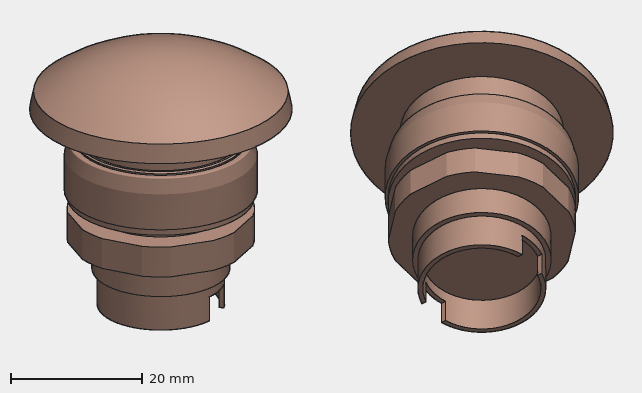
import cadquery as cq
import math


slot_top = 4.0
barrel_bottom = 6.0
nut_bottom = 11.0
nut_height = 5.0
gasket_bottom = 18.0
gasket_height = 1.1
collar_bottom = gasket_bottom + gasket_height
collar_cylinder_height = 5.9
collar_top = 27.5
lip_top = 28.0
rim_bottom = 32.6
rim_height = 3.0
cap_top = 42.1

skirt_radius = 9.75
skirt_bore_radius = 9.0
barrel_radius = 10.55
collar_radius = 14.75
collar_top_radius = 14.2
collar_edge_rounding = 0.25
lip_radius = 13.15
lip_chamfer = 0.25
slot_width = 5.1

gasket_radius = 14.3

nut_sides = 8
nut_across_flats = 27.8
nut_turned_diameter = 28.6

stem_radius = 12.5
rim_radius = 20.03
rim_top_radius = 19.4


def make_housing():
    """Barrel with a tapered collar on top and a slotted, hollow skirt below."""
    collar_shoulder = collar_bottom + collar_cylinder_height
    rounding_start = collar_top - collar_edge_rounding
    rounding_inner = collar_top_radius - collar_edge_rounding
    arc_offset = collar_edge_rounding * math.sqrt(0.5)
    arc_middle = (rounding_inner + arc_offset, rounding_start + arc_offset)

    body = (
        cq.Workplane("XZ")
        .moveTo(0, barrel_bottom)
        .lineTo(skirt_bore_radius, barrel_bottom)
        .lineTo(skirt_bore_radius, 0)
        .lineTo(skirt_radius, 0)
        .lineTo(skirt_radius, barrel_bottom)
        .lineTo(barrel_radius, barrel_bottom)
        .lineTo(barrel_radius, collar_bottom)
        .lineTo(collar_radius, collar_bottom)
        .lineTo(collar_radius, collar_shoulder)
        .lineTo(collar_top_radius, rounding_start)
        .threePointArc(arc_middle, (rounding_inner, collar_top))
        .lineTo(lip_radius, collar_top)
        .lineTo(lip_radius, lip_top - lip_chamfer)
        .lineTo(lip_radius - lip_chamfer, lip_top)
        .lineTo(0, lip_top)
        .close()
        .revolve(360, (0, 0, 0), (0, 1, 0))
    )

    slot = cq.Workplane("XY").box(2 * barrel_radius, slot_width, slot_top, centered=(True, True, False))
    return body.cut(slot).solids()


def make_gasket():
    """Flat sealing ring around the barrel, directly under the collar."""
    return (
        cq.Workplane("XY")
        .workplane(offset=gasket_bottom)
        .circle(gasket_radius)
        .circle(barrel_radius)
        .extrude(gasket_height)
    )


def make_nut():
    """Octagonal nut on the barrel, with flats square to X and Y."""
    across_corners = nut_across_flats / math.cos(math.pi / nut_sides)
    half_side_angle = 180 / nut_sides
    base = cq.Workplane("XY").workplane(offset=nut_bottom)
    octagon = (
        base.polygon(nut_sides, across_corners)
        .extrude(nut_height)
        .rotate((0, 0, 0), (0, 0, 1), half_side_angle)
    )
    turned_blank = base.circle(nut_turned_diameter / 2).circle(barrel_radius).extrude(nut_height)
    return octagon.intersect(turned_blank).solids()


def make_cap():
    """Stem standing on the housing, with a tapered rim and a spherical dome."""
    rim_top = rim_bottom + rim_height
    dome_height = cap_top - rim_top
    dome_radius = (rim_top_radius**2 + dome_height**2) / (2 * dome_height)
    dome_centre = cap_top - dome_radius
    half_angle = math.asin(rim_top_radius / dome_radius) / 2
    dome_middle = (dome_radius * math.sin(half_angle), dome_centre + dome_radius * math.cos(half_angle))

    return (
        cq.Workplane("XZ")
        .moveTo(0, lip_top)
        .lineTo(stem_radius, lip_top)
        .lineTo(stem_radius, rim_bottom)
        .lineTo(rim_radius, rim_bottom)
        .lineTo(rim_top_radius, rim_top)
        .threePointArc(dome_middle, (0, cap_top))
        .close()
        .revolve(360, (0, 0, 0), (0, 1, 0))
    )


housing = make_housing()
gasket = make_gasket()
nut = make_nut()
cap = make_cap()

result = cq.Compound.makeCompound([housing.val(), gasket.val(), nut.val(), cap.val()])